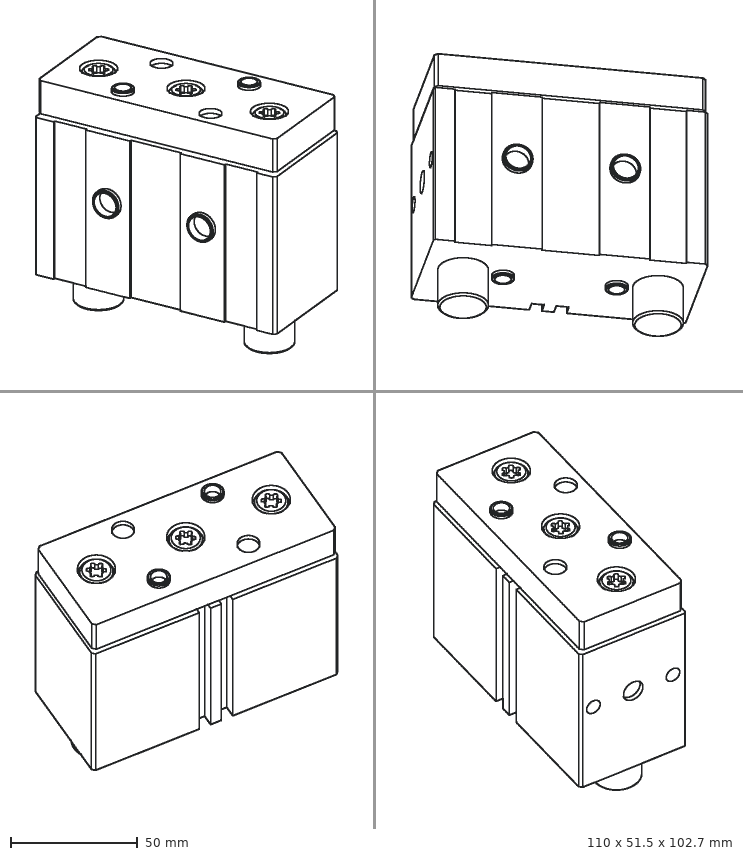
import cadquery as cq
import math


HOUSING_WIDTH = 110.0
HOUSING_HEIGHT = 68.5
HOUSING_REAR = 25.3
HOUSING_FRONT = -24.0
HOUSING_CHAMFER = 1.2
FRONT_LEFT_CHAMFER = 0.7
MID_HEIGHT = 39.3
SIDE_CENTRE_Y = (HOUSING_REAR + HOUSING_FRONT) / 2

RELIEF_DEPTH = 0.9
MIDDLE_RELIEF_WIDTH = 23.0
SIDE_RELIEF_WIDTH = 14.7

SENSOR_SLOT_WIDTH = 5.1
SENSOR_SLOT_DEPTH = SENSOR_SLOT_WIDTH
SENSOR_SLOT_X = 5.0

PLATE_GAP = 1.5
PLATE_WIDTH = 108.7
PLATE_DEPTH = 47.3
PLATE_HEIGHT = 14.4
PLATE_CENTRE_Y = 0.8
PLATE_CHAMFER = 1.3
PLATE_BOTTOM = HOUSING_HEIGHT + PLATE_GAP
PLATE_TOP = PLATE_BOTTOM + PLATE_HEIGHT
ROD_DIAMETER = 20.0
ROD_X = 39.0
ROD_Y = -1.5
ROD_OVERHANG = 16.7
ROD_CHAMFER = 0.9
PISTON_ROD_DIAMETER = 10.5
PISTON_ROD_DEPTH = HOUSING_HEIGHT / 2

COUNTERBORE_DIAMETER = 15.0
COUNTERBORE_DEPTH = 3.3
HEAD_DIAMETER = 13.2
HEAD_CHAMFER = 0.9
HEAD_DROP = 0.5
SOCKET_DEPTH = 2.8
SOCKET_OUTER_RADIUS = 4.0
SOCKET_INNER_RADIUS = 2.9
SOCKET_LOBES = 6
SOCKET_FLANK_ANGLE = 13.6
SOCKET_VALLEY_RADIUS = 2.8

SMALL_SLEEVE_DIAMETER = 9.0
SMALL_SLEEVE_BORE = 6.5
LARGE_SLEEVE_DIAMETER = 12.0
LARGE_SLEEVE_BORE = 10.0
SLEEVE_CHAMFER = 0.4
SMALL_SLEEVE_PROTRUSION = 1.6
LARGE_SLEEVE_PROTRUSION = 2.2
SMALL_RECESS_DEPTH = 2.1
LARGE_RECESS_DEPTH = 2.2
TOP_SLEEVE_X = 20.0
TOP_SLEEVE_Y = 15.0
BOTTOM_SLEEVE_X = 22.8
FRONT_SLEEVE_X = 21.6

PLUG_DIAMETER = 6.3
PLUG_LENGTH = PLUG_DIAMETER
PLUG_SPACING = 37.0

UP = (0, 0, 1)
DOWN = (0, 0, -1)
RIGHTWARD = (1, 0, 0)
REARWARD = (0, 1, 0)
FRONTWARD = (0, -1, 0)

LEFT_FACE = -HOUSING_WIDTH / 2
ROD_POSITIONS = [(side * ROD_X, ROD_Y) for side in (-1, 1)]
PISTON_POSITION = (0, 0)
TOP_RECESSES = [(sx * TOP_SLEEVE_X, sy * TOP_SLEEVE_Y) for sx in (-1, 1) for sy in (-1, 1)]
TOP_SLEEVES = [(-TOP_SLEEVE_X, -TOP_SLEEVE_Y), (TOP_SLEEVE_X, TOP_SLEEVE_Y)]
BOTTOM_SLEEVES = [(side * BOTTOM_SLEEVE_X, 0) for side in (-1, 1)]
FRONT_SLEEVES = [(side * FRONT_SLEEVE_X, MID_HEIGHT) for side in (-1, 1)]
PLUG_POSITIONS = [SIDE_CENTRE_Y + side * PLUG_SPACING / 2 for side in (-1, 1)]


def cylinder(start, direction, diameter, length):
    """Solid cylinder from a start point along a direction."""
    plane = cq.Plane(origin=start, normal=direction)
    return cq.Workplane(plane).circle(diameter / 2).extrude(length)


def vertical_block(width, y_min, y_max, z_min, height, centre_x=0):
    """Upright block centred on centre_x in X."""
    block = cq.Workplane("XY").box(width, y_max - y_min, height, centered=(True, False, False))
    return block.translate((centre_x, y_min, z_min))


def make_plug(y):
    """Plug flush with the -X side."""
    return cylinder((LEFT_FACE, y, MID_HEIGHT), RIGHTWARD, PLUG_DIAMETER, PLUG_LENGTH)


def make_sleeve(seat, outward, diameter, bore, recess_depth, protrusion):
    """Sleeve whose seat point lies on the face that it stands out of."""
    length = recess_depth + protrusion
    plane = cq.Plane(origin=seat, normal=outward)
    inner_end = cq.Workplane(plane).workplane(offset=-recess_depth)
    bore_core = inner_end.circle(bore / 2).extrude(length)
    ring = inner_end.circle(diameter / 2).extrude(length)
    ring = ring.faces(cq.DirectionMinMaxSelector(cq.Vector(*outward))).chamfer(SLEEVE_CHAMFER)
    return ring.cut(bore_core)


def make_housing_block():
    """Chamfered block with the front reliefs and the rear sensor slots."""
    block = vertical_block(HOUSING_WIDTH, HOUSING_FRONT, HOUSING_REAR, 0, HOUSING_HEIGHT)
    block = block.edges("|Z").edges("<X and <Y").chamfer(FRONT_LEFT_CHAMFER)
    block = block.edges("|Z").edges(">X or >Y").chamfer(HOUSING_CHAMFER)

    relief_back = HOUSING_FRONT + RELIEF_DEPTH
    reliefs = [(-ROD_X, SIDE_RELIEF_WIDTH), (0, MIDDLE_RELIEF_WIDTH), (ROD_X, SIDE_RELIEF_WIDTH)]
    for x, width in reliefs:
        block = block.cut(vertical_block(width, HOUSING_FRONT, relief_back, 0, HOUSING_HEIGHT, x))

    slot_floor = HOUSING_REAR - SENSOR_SLOT_DEPTH
    for x in (-SENSOR_SLOT_X, SENSOR_SLOT_X):
        block = block.cut(vertical_block(SENSOR_SLOT_WIDTH, slot_floor, HOUSING_REAR, 0, HOUSING_HEIGHT, x))
    return block


def make_housing():
    """Housing block with the rod bores, the sleeve recesses and the plug holes."""
    body = make_housing_block()
    for x, y in ROD_POSITIONS:
        body = body.cut(cylinder((x, y, 0), UP, ROD_DIAMETER, HOUSING_HEIGHT))
    piston_mouth = (*PISTON_POSITION, HOUSING_HEIGHT)
    body = body.cut(cylinder(piston_mouth, DOWN, PISTON_ROD_DIAMETER, PISTON_ROD_DEPTH))

    for x, y in BOTTOM_SLEEVES:
        body = body.cut(cylinder((x, y, 0), UP, SMALL_SLEEVE_DIAMETER, SMALL_RECESS_DEPTH))
    for x, z in FRONT_SLEEVES:
        seat = (x, HOUSING_FRONT, z)
        body = body.cut(cylinder(seat, REARWARD, LARGE_SLEEVE_DIAMETER, LARGE_RECESS_DEPTH))
    side_seat = (LEFT_FACE, SIDE_CENTRE_Y, MID_HEIGHT)
    body = body.cut(cylinder(side_seat, RIGHTWARD, SMALL_SLEEVE_DIAMETER, SMALL_RECESS_DEPTH))

    for y in PLUG_POSITIONS:
        body = body.cut(make_plug(y))
    return body


def make_socket():
    """Six-lobe socket cutter with its top at Z = 0."""
    half_pitch = 180 / SOCKET_LOBES
    first_tip = 90

    def point(radius, angle):
        turn = math.radians(angle)
        return (radius * math.cos(turn), radius * math.sin(turn))

    start = first_tip - half_pitch - SOCKET_FLANK_ANGLE
    outline = cq.Workplane("XY").moveTo(*point(SOCKET_INNER_RADIUS, start))
    for lobe in range(SOCKET_LOBES):
        tip = first_tip + 2 * half_pitch * lobe
        valley = tip - half_pitch
        lobe_start = point(SOCKET_INNER_RADIUS, valley + SOCKET_FLANK_ANGLE)
        lobe_end = point(SOCKET_INNER_RADIUS, tip + half_pitch - SOCKET_FLANK_ANGLE)
        outline = outline.threePointArc(point(SOCKET_VALLEY_RADIUS, valley), lobe_start)
        outline = outline.threePointArc(point(SOCKET_OUTER_RADIUS, tip), lobe_end)
    return outline.close().extrude(-SOCKET_DEPTH)


def sink_screw(unit, x, y):
    """Counterbore the plate and leave a screw head with a socket in it."""
    head_top = PLATE_TOP - HEAD_DROP
    floor = PLATE_TOP - COUNTERBORE_DEPTH
    head = cylinder((x, y, floor), UP, HEAD_DIAMETER, head_top - floor)
    head = head.faces(">Z").chamfer(HEAD_CHAMFER)
    unit = unit.cut(cylinder((x, y, floor), UP, COUNTERBORE_DIAMETER, COUNTERBORE_DEPTH))
    return unit.union(head).cut(make_socket().translate((x, y, head_top)))


def make_moving_unit():
    """Plate with its guide rods, piston rod, sunk screws and sleeve recesses."""
    plate_front = PLATE_CENTRE_Y - PLATE_DEPTH / 2
    plate_rear = PLATE_CENTRE_Y + PLATE_DEPTH / 2
    unit = vertical_block(PLATE_WIDTH, plate_front, plate_rear, PLATE_BOTTOM, PLATE_HEIGHT)
    unit = unit.edges("|Z").chamfer(PLATE_CHAMFER)

    for x, y in ROD_POSITIONS:
        rod = cylinder((x, y, -ROD_OVERHANG), UP, ROD_DIAMETER, PLATE_BOTTOM + ROD_OVERHANG)
        unit = unit.union(rod.faces("<Z").chamfer(ROD_CHAMFER))
    piston_top = (*PISTON_POSITION, PLATE_BOTTOM)
    unit = unit.union(cylinder(piston_top, DOWN, PISTON_ROD_DIAMETER, PLATE_GAP + PISTON_ROD_DEPTH))

    for x, y in [*ROD_POSITIONS, PISTON_POSITION]:
        unit = sink_screw(unit, x, y)
    for x, y in TOP_RECESSES:
        unit = unit.cut(cylinder((x, y, PLATE_TOP), DOWN, SMALL_SLEEVE_DIAMETER, SMALL_RECESS_DEPTH))
    return unit


def make_small_sleeve(seat, outward):
    diameter, bore = SMALL_SLEEVE_DIAMETER, SMALL_SLEEVE_BORE
    return make_sleeve(seat, outward, diameter, bore, SMALL_RECESS_DEPTH, SMALL_SLEEVE_PROTRUSION)


def make_large_sleeve(seat, outward):
    diameter, bore = LARGE_SLEEVE_DIAMETER, LARGE_SLEEVE_BORE
    return make_sleeve(seat, outward, diameter, bore, LARGE_RECESS_DEPTH, LARGE_SLEEVE_PROTRUSION)


housing = make_housing()
moving_unit = make_moving_unit()
sleeves = [make_small_sleeve((x, y, PLATE_TOP), UP) for x, y in TOP_SLEEVES]
sleeves += [make_small_sleeve((x, y, 0), DOWN) for x, y in BOTTOM_SLEEVES]
sleeves += [make_large_sleeve((x, HOUSING_FRONT, z), FRONTWARD) for x, z in FRONT_SLEEVES]
plugs = [make_plug(y) for y in PLUG_POSITIONS]

bodies = [housing, moving_unit, *sleeves, *plugs]
result = cq.Compound.makeCompound([body.val() for body in bodies])